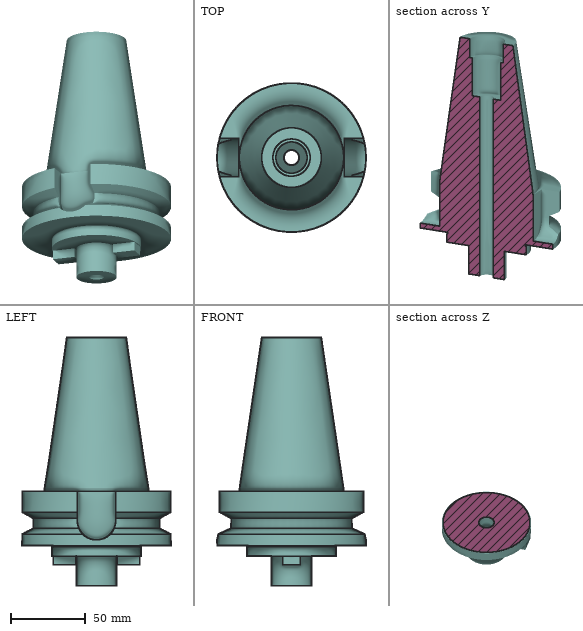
import cadquery as cq

total_height = 166.8
key_bottom = 14.0
collar_bottom = 20.0
neck_bottom = 26.2
flange_bottom = 27.0
groove_lower_edge = 34.7
groove_floor_bottom = 38.5
groove_floor_top = 45.4
groove_upper_edge = 49.5
flange_top = 63.5
taper_bottom = 65.0

pilot_radius = 13.5
collar_radius = 30.0
neck_radius = 29.4
flange_radius = 50.0
groove_radius = 42.5
taper_large_radius = 35.0
taper_small_radius = 20.0

mouth_diameter = 25.0
mouth_depth = 13.3
thread_diameter = 21.0
thread_depth = 40.0
through_diameter = 10.0

slot_width = 25.7
slot_floor_distance = 35.4
slot_bottom = 30.9

key_width = 11.7
key_inner_distance = 13.7
key_outer_distance = 29.0


def turned_body():
    """Revolve the half profile of pilot, collar, grooved flange and taper."""
    profile = [
        (0, 0),
        (pilot_radius, 0),
        (pilot_radius, collar_bottom),
        (collar_radius, collar_bottom),
        (collar_radius, neck_bottom),
        (neck_radius, neck_bottom),
        (neck_radius, flange_bottom),
        (flange_radius, flange_bottom),
        (flange_radius, groove_lower_edge),
        (groove_radius, groove_floor_bottom),
        (groove_radius, groove_floor_top),
        (flange_radius, groove_upper_edge),
        (flange_radius, flange_top),
        (taper_large_radius, flange_top),
        (taper_large_radius, taper_bottom),
        (taper_small_radius, total_height),
        (0, total_height),
    ]
    return cq.Workplane("XZ").polyline(profile).close().revolve(360, (0, 0), (0, 1))


def drive_slot(side):
    """Round-bottomed slot running outward from its flat floor, open at the top."""
    half_width = slot_width / 2
    arc_center = slot_bottom + half_width
    slot_depth = flange_radius - slot_floor_distance
    return (
        cq.Workplane("YZ", origin=(side * slot_floor_distance, 0, 0))
        .moveTo(-half_width, flange_top)
        .lineTo(-half_width, arc_center)
        .threePointArc((0, slot_bottom), (half_width, arc_center))
        .lineTo(half_width, flange_top)
        .close()
        .extrude(side * slot_depth)
    )


def driving_key(side):
    """Rectangular key standing below the collar face."""
    key_length = key_outer_distance - key_inner_distance
    key_center = side * (key_inner_distance + key_outer_distance) / 2
    return (
        cq.Workplane("XY", origin=(0, key_center, key_bottom))
        .rect(key_width, key_length)
        .extrude(collar_bottom - key_bottom)
    )


def bore_step(diameter, depth):
    """Cylinder sunk from the top face."""
    return cq.Workplane("XY", origin=(0, 0, total_height)).circle(diameter / 2).extrude(-depth)


result = turned_body()
for side in (-1, 1):
    result = result.cut(drive_slot(side)).union(driving_key(side))

for diameter, depth in (
    (mouth_diameter, mouth_depth),
    (thread_diameter, thread_depth),
    (through_diameter, total_height),
):
    result = result.cut(bore_step(diameter, depth))